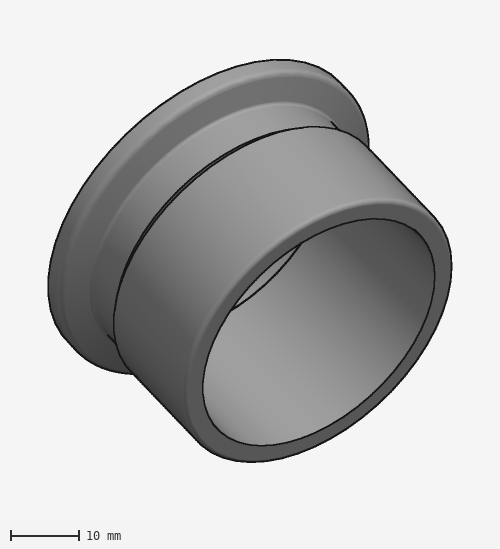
import cadquery as cq
import math

flange_radius = 27.5
flange_edge_width = 3.0
flange_taper_angle = 15.0
flange_rim_fillet = 1.0

neck_radius = 22.6
neck_root_fillet = 0.5
neck_end = 10.3
body_radius = 23.85
body_start = 11.7
body_end_fillet = 0.75
total_length = 30.0

bore_radius = 20.5
recess_radius = 20.6
recess_depth = 2.4

selection_margin = 0.01

taper_run = (flange_radius - neck_radius) * math.tan(math.radians(flange_taper_angle))
neck_start = flange_edge_width + taper_run


def revolve_about_x(profile):
    """Turn a closed profile of (x, radius) points fully around the X axis."""
    return profile.revolve(360, (0, 0, 0), (1, 0, 0))


def round_circle_edge(body, x, radius, fillet):
    """Fillet the circular edge of the given radius lying at position x."""
    edge_box = cq.selectors.BoxSelector(
        (x - selection_margin, -radius - selection_margin, -radius - selection_margin),
        (x + selection_margin, radius + selection_margin, radius + selection_margin),
        boundingbox=True,
    )
    return body.edges(edge_box).fillet(fillet)


def make_outer_body():
    """Solid turned shape: flange, tapered back face, neck, cone and plain body."""
    body = revolve_about_x(
        cq.Workplane("XY")
        .moveTo(0, 0)
        .lineTo(0, flange_radius)
        .lineTo(flange_edge_width, flange_radius)
        .lineTo(neck_start, neck_radius)
        .lineTo(neck_end, neck_radius)
        .lineTo(body_start, body_radius)
        .lineTo(total_length, body_radius)
        .lineTo(total_length, 0)
        .close()
    )
    body = round_circle_edge(body, flange_edge_width, flange_radius, flange_rim_fillet)
    body = round_circle_edge(body, neck_start, neck_radius, neck_root_fillet)
    return round_circle_edge(body, total_length, body_radius, body_end_fillet)


def make_bore():
    """Through bore together with the shallow recess at the flange face."""
    bore = cq.Workplane("YZ").circle(bore_radius).extrude(total_length)
    recess = cq.Workplane("YZ").circle(recess_radius).extrude(recess_depth)
    return bore.union(recess)


result = make_outer_body().cut(make_bore())